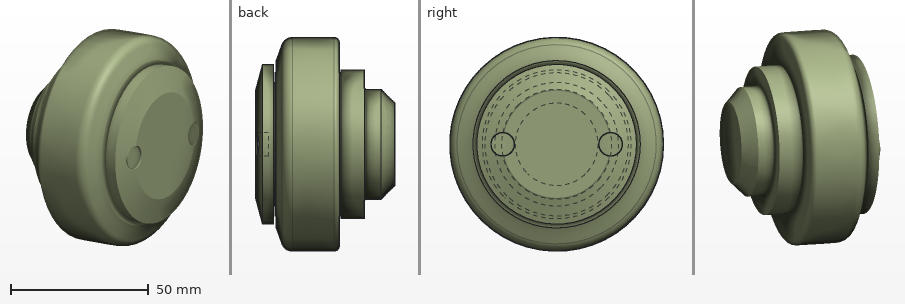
import cadquery as cq
import math

nose_end_radius = 15.0
nose_radius = 20.0
nose_chamfer_length = 5.0
nose_root_fillet = 0.6

flange_radius = 27.05
flange_start = 11.0
flange_end = 19.6

ring_radius = 26.0
ring_end = 43.5

roller_edge_radius = 38.8
roller_crown_radius = 38.85
roller_start = 20.1
roller_end = 43.05
roller_front_fillet = 1.95
roller_back_fillet = 4.0
roller_back_fillet_start = 37.2
roller_cone_angle = 70.0

cap_neck_radius = 22.45
cap_radius = 29.0
cap_end_radius = 19.65
cap_start = 44.0
cap_rim_end = 48.0
overall_length = 50.5

recess_diameter = 8.6
recess_offset = 19.6
recess_depth = 4.7
plug_diameter = 8.4
plug_setback = 0.7


def arc_point(center_x, center_radius, radius, angle):
    """Point on an arc in the half section; angle in degrees from the +X direction."""
    turn = math.radians(angle)
    return (center_x + radius * math.cos(turn), center_radius + radius * math.sin(turn))


front_center = (roller_start + roller_front_fillet, roller_edge_radius - roller_front_fillet)
back_center = (roller_back_fillet_start, roller_edge_radius - roller_back_fillet)
front_mid = arc_point(*front_center, roller_front_fillet, 135)
back_cone_normal = 90 - roller_cone_angle
back_mid = arc_point(*back_center, roller_back_fillet, (90 + back_cone_normal) / 2)
back_cone_start = arc_point(*back_center, roller_back_fillet, back_cone_normal)
cone_drop = (roller_end - back_cone_start[0]) * math.tan(math.radians(roller_cone_angle))
back_face_radius = back_cone_start[1] - cone_drop
crown_mid = ((front_center[0] + roller_back_fillet_start) / 2, roller_crown_radius)

root_center = (flange_start - nose_root_fillet, nose_radius + nose_root_fillet)
root_mid = arc_point(*root_center, nose_root_fillet, -45)

half_section = (
    cq.Workplane("XY")
    .moveTo(0, 0)
    .lineTo(0, nose_end_radius)
    .lineTo(nose_chamfer_length, nose_radius)
    .lineTo(root_center[0], nose_radius)
    .threePointArc(root_mid, (flange_start, root_center[1]))
    .lineTo(flange_start, flange_radius)
    .lineTo(flange_end, flange_radius)
    .lineTo(flange_end, ring_radius)
    .lineTo(roller_start, ring_radius)
    .lineTo(roller_start, front_center[1])
    .threePointArc(front_mid, (front_center[0], roller_edge_radius))
    .threePointArc(crown_mid, (back_center[0], roller_edge_radius))
    .threePointArc(back_mid, back_cone_start)
    .lineTo(roller_end, back_face_radius)
    .lineTo(roller_end, ring_radius)
    .lineTo(ring_end, ring_radius)
    .lineTo(ring_end, cap_neck_radius)
    .lineTo(cap_start, cap_neck_radius)
    .lineTo(cap_start, cap_radius)
    .lineTo(cap_rim_end, cap_radius)
    .lineTo(overall_length, cap_end_radius)
    .lineTo(overall_length, 0)
    .close()
)
body = half_section.revolve(360, (0, 0, 0), (1, 0, 0))

recess_centers = [(-recess_offset, 0), (recess_offset, 0)]
recesses = (
    cq.Workplane("YZ", origin=(overall_length, 0, 0))
    .pushPoints(recess_centers)
    .circle(recess_diameter / 2)
    .extrude(-recess_depth)
)

plugs = (
    cq.Workplane("YZ", origin=(overall_length - recess_depth, 0, 0))
    .pushPoints(recess_centers)
    .circle(plug_diameter / 2)
    .extrude(recess_depth - plug_setback)
)

result = body.cut(recesses).union(plugs)